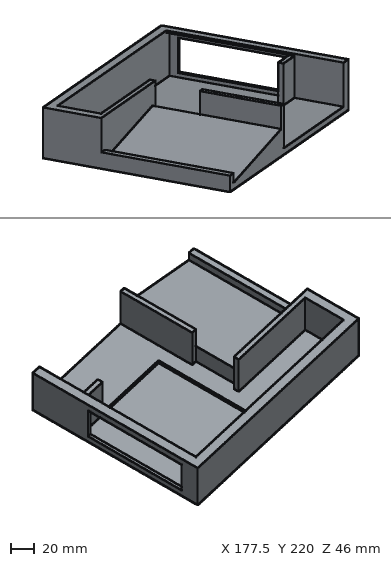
import cadquery as cq
import math

LENGTH_X = 177.5
LENGTH_Y = 220.0
HEIGHT = 46.0
WALL = 9.2
FLOOR_Z = 6.2

PARTITION = 5.0
RAMP_LEFT = 55.5
RAMP_BACK = 95.0
partition_back = RAMP_BACK + PARTITION
SHORT_PARTITION_LEFT = 100.3

LIP_HEIGHT = 15.0
LIP_DEPTH = 6.8
RAMP_TOP = 25.0
RAMP_ANGLE = 12.0
ramp_drop = (RAMP_BACK - LIP_DEPTH) * math.tan(math.radians(RAMP_ANGLE))

POCKET_RIGHT = 125.8
POCKET_FRONT = 113.7
POCKET_DEPTH = 3.0
RECESS_TOP = 44.0
THIN_WALL = 3.3
TAB_LENGTH = 20.5
pocket_z = FLOOR_Z - POCKET_DEPTH
wall_face_y = LENGTH_Y - WALL

WINDOW_SIDE_MARGIN = 8.0
WINDOW_TOP = 38.7
WINDOW_SILL = 7.0


def block(x0, x1, y0, y1, z0, z1):
    """Box between opposite corner coordinates."""
    return cq.Workplane("XY").box(x1 - x0, y1 - y0, z1 - z0, centered=False).translate((x0, y0, z0))


def tray():
    """Block with a flat floor, open on the right and walled on the other sides."""
    body = block(0, LENGTH_X, 0, LENGTH_Y, 0, HEIGHT)
    return body.cut(block(WALL, LENGTH_X, WALL, wall_face_y, FLOOR_Z, HEIGHT))


def ramp_block():
    """Solid stretch of the tray that carries the ramp."""
    return block(RAMP_LEFT, LENGTH_X, 0, RAMP_BACK, 0, HEIGHT)


def ramp_bay():
    """Space above the front lip and the ramp that falls towards it."""
    profile = [
        (0, LIP_HEIGHT),
        (LIP_DEPTH, LIP_HEIGHT),
        (LIP_DEPTH, RAMP_TOP - ramp_drop),
        (RAMP_BACK, RAMP_TOP),
        (RAMP_BACK, HEIGHT),
        (0, HEIGHT),
    ]
    bay = cq.Workplane("YZ").polyline(profile).close().extrude(LENGTH_X - RAMP_LEFT)
    return bay.translate((RAMP_LEFT, 0, 0))


def partitions():
    """Walls beside and behind the ramp, and the tab beside the pocket."""
    side = block(RAMP_LEFT - PARTITION, RAMP_LEFT, 0, partition_back, FLOOR_Z, HEIGHT)
    rear = block(SHORT_PARTITION_LEFT, LENGTH_X, RAMP_BACK, partition_back, FLOOR_Z, HEIGHT)
    tab = block(POCKET_RIGHT, POCKET_RIGHT + PARTITION,
                wall_face_y - TAB_LENGTH, wall_face_y, FLOOR_Z, RECESS_TOP)
    return [side, rear, tab]


def pocket():
    """Sunken floor area reaching under the top edge of the back wall."""
    return block(WALL, POCKET_RIGHT, POCKET_FRONT, LENGTH_Y - THIN_WALL, pocket_z, RECESS_TOP)


def window():
    """Rectangular opening through the thinned back wall."""
    return block(WALL + WINDOW_SIDE_MARGIN, POCKET_RIGHT - WINDOW_SIDE_MARGIN,
                 wall_face_y, LENGTH_Y, WINDOW_SILL, WINDOW_TOP)


result = tray().union(ramp_block()).cut(ramp_bay())
for partition in partitions():
    result = result.union(partition)
result = result.cut(pocket()).cut(window())